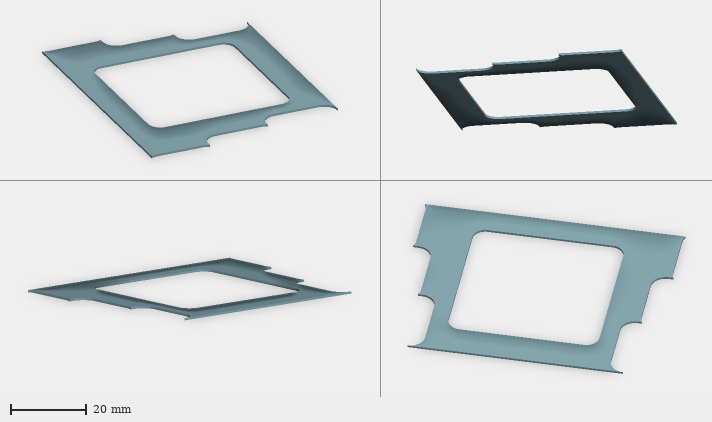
import cadquery as cq
import math

width = 70.5
depth = 57.1
thickness = 0.6

flare = 0.5
lower_wall = width / 2 - flare
middle_wall = 29.8
upper_wall = 25.2
corner_radius = 4.0

back = depth / 2
front = -depth / 2
upper_step_depth = 20.95
lower_step_depth = 40.05
upper_step = back - upper_step_depth
lower_step = back - lower_step_depth

window_size = 40.9
window_radius = 3.5
window_back_margin = 8.95
window_center_y = back - window_back_margin - window_size / 2

flare_angle = math.acos(1 - flare / corner_radius)
flare_length = corner_radius * math.sin(flare_angle)


def arc_point(wall, tangent_y, direction, angle):
    """Point on a corner arc that leaves a wall at tangent_y and turns outward by angle.

    direction is +1 when the arc heads toward the back and -1 toward the front.
    """
    x = wall + corner_radius * (1 - math.cos(angle))
    y = tangent_y + direction * corner_radius * math.sin(angle)
    return x, y


def add_arc(path, wall, tangent_y, direction, angle, leaving_wall):
    """Add one corner arc to the path, drawn away from its wall or toward it."""
    on_wall = (wall, tangent_y)
    middle = arc_point(wall, tangent_y, direction, angle / 2)
    tip = arc_point(wall, tangent_y, direction, angle)
    return path.threePointArc(middle, tip if leaving_wall else on_wall)


def add_wall_and_step(path, wall, next_wall, step_y):
    """Run along a flared wall to its tip, then in along the step and round onto the next wall."""
    tangent_y = step_y - flare_length
    path = path.lineTo(wall, tangent_y)
    path = add_arc(path, wall, tangent_y, 1, flare_angle, leaving_wall=True)
    path = path.lineTo(next_wall + corner_radius, step_y)
    return add_arc(path, next_wall, step_y + corner_radius, -1, math.pi / 2, leaving_wall=False)


def half_plate():
    """Right half of the stepped outline, extruded."""
    path = cq.Workplane("XY").moveTo(0, front).lineTo(width / 2, front)
    path = add_arc(path, lower_wall, front + flare_length, -1, flare_angle, leaving_wall=False)
    path = add_wall_and_step(path, lower_wall, middle_wall, lower_step)
    path = add_wall_and_step(path, middle_wall, upper_wall, upper_step)
    path = path.lineTo(upper_wall, back - corner_radius)
    path = add_arc(path, upper_wall, back - corner_radius, 1, math.pi / 2, leaving_wall=True)
    return path.lineTo(0, back).close().extrude(thickness)


def window():
    """Rounded square cutter through the plate."""
    return (
        cq.Workplane("XY")
        .center(0, window_center_y)
        .rect(window_size, window_size)
        .extrude(thickness)
        .edges("|Z")
        .fillet(window_radius)
    )


right_half = half_plate()
plate = right_half.union(right_half.mirror("YZ")).clean()
result = plate.cut(window())